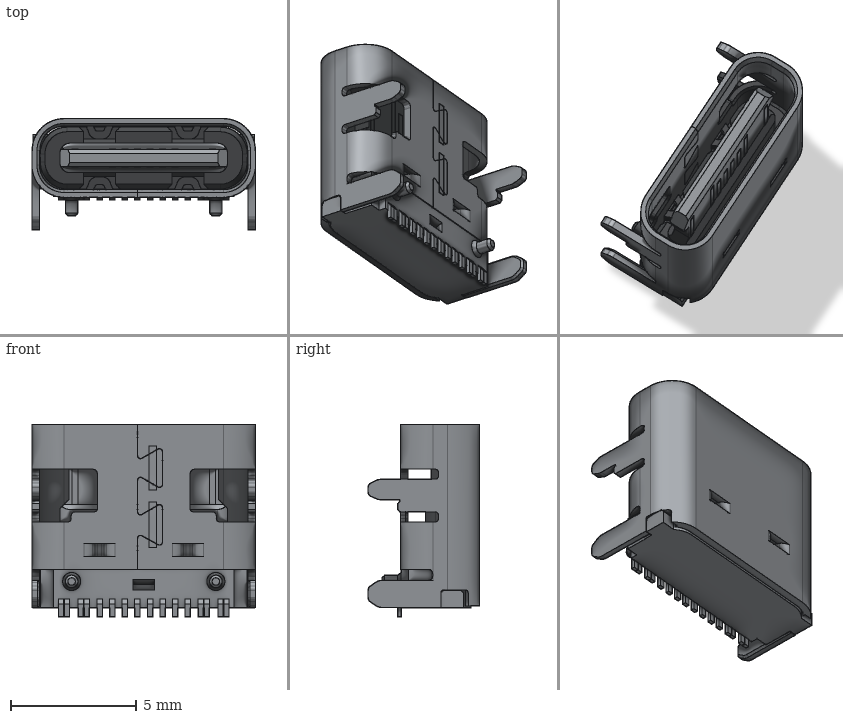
import cadquery as cq


SHELL_WIDTH = 8.94
SHELL_DEPTH = 3.16
SHELL_RADIUS = 1.29
SHEET = 0.31
SHELL_TOP = 7.34
SHELL_BOTTOM = 0.08
MOUTH_BEVEL_WIDTH = 0.11
MOUTH_BEVEL_HEIGHT = 0.3
HALF_WIDTH = SHELL_WIDTH / 2
HALF_DEPTH = SHELL_DEPTH / 2
FLAT_SIDE_END = HALF_DEPTH - SHELL_RADIUS
FRONT_SKIRT = 1.535
REACH = 1.0

WINDOW_INNER_X = 1.855
WINDOW_STEP_X = 2.9
WINDOW_TOP = 5.55
WINDOW_BOTTOM = 3.84
WINDOW_TOP_RADIUS = 0.19
WINDOW_RADIUS = 0.14
WINDOW_BEVEL = 0.1
RELIEF_WIDTH = 0.4
RELIEF_BOTTOM = WINDOW_BOTTOM - RELIEF_WIDTH
RELIEF_END_Y = -0.055
RELIEF_RADIUS = 0.14

LEG_TIP_Y = -2.88
LEG_TAPER_Y = -2.46
LEG_TAPER_RADIUS = 0.45
UPPER_LEG_TOP = WINDOW_TOP - RELIEF_WIDTH
UPPER_LEG_BOTTOM = 4.326
UPPER_TIP_TOP = 4.94
UPPER_TIP_BOTTOM = 4.51
LEG_TIP_RADIUS = 0.2
NUB_Y = -1.69
NUB_NECK_Y = -1.61
NUB_TOP = 4.17
NUB_BEVEL = 0.1
LOWER_LEG_TOP = 1.107
LOWER_LEG_BOTTOM = 0.015
LOWER_TIP_TOP = 0.81
LOWER_TIP_BOTTOM = 0.31
LOWER_LEG_BEVEL = 0.09
SKIRT_RADIUS = 0.17

SPRING_X = 1.765
SPRING_BOTTOM = 2.06
SPRING_TOP = 2.57
SPRING_REACH_Y = 0.76
SPRING_CREST = 0.14
SPRING_FLANK = 0.45
SPRING_ROOT = 0.55
SPRING_MOUTH = 0.617
HOLLOW_CREST = 0.085
HOLLOW_TOE = 0.18
HOLLOW_LIP = 0.28
HOLLOW_TOE_RISE = 0.055
HOLLOW_LIP_RISE = 0.275

SEAM_X = -0.25
SEAM_GAP = 0.01
SEAM_TIP_X = 0.745
SEAM_RADIUS = 0.12
DOVETAILS = [
    (6.45, 5.88, 5.32, 4.74),
    (4.21, 3.63, 2.99, 2.44),
]
STAKE_LEFT = 0.21
STAKE_RIGHT = 0.51
STAKE_DEPTH = 0.02
STAKE_MARGIN = 0.02

TAB_LOW_Y = 0.03
TAB_HIGH_Y = 0.94
TAB_TOP = 0.7
SLOT_HIGH_Y = 1.13
SLOT_TOP = 0.72
SLOT_RADIUS = 0.12

CORE_WIDTH = 8.28
CORE_DEPTH = 2.48
CORE_RADIUS = 1.08
CORE_TOP = 2.48
CORE_BEVEL = 0.19
BASE_WIDTH = 8.25
BASE_SIDE_Y = -1.25
BASE_FRONT_WIDTH = 7.2
BASE_FRONT_Y = -1.55
TAB_X = 4.43
TAB_BEVEL = 0.1

POCKET_WIDTH = 1.275
POCKET_FLOOR = 2.0
POCKET_WALL_Y = 0.75

TONGUE_HALF_WIDTH = 3.35
TONGUE_HALF_THICK = 0.34
TONGUE_TOP = 6.95
TIP_HALF_THICK = 0.18
TIP_HALF_WIDTH = 2.96
TIP_BEVEL_HEIGHT = 0.14
TIP_SLANT_HEIGHT = 0.68
ROOT_HALF_THICK = 0.59
ROOT_RADIUS = 0.4
ROOT_TOP = 3.94
ROOT_SLOPE_HEIGHT = 0.2
NOTCH_X = 2.98
NOTCH_BOTTOM = 4.35
NOTCH_TOP = 5.75

CONTACT_WIDTH = 0.25
CONTACT_PROUD = 0.02
CONTACT_BOTTOM = ROOT_TOP + ROOT_SLOPE_HEIGHT
LONG_CONTACT_TOP = 6.4
SHORT_CONTACT_TOP = 5.9
LONG_CONTACT_XS = [1.25, 2.75]
SHORT_CONTACT_XS = [0.25, 0.75]

PIN_PITCH = 0.5
PIN_COUNT = 8
PIN_WIDTH = 0.22
PIN_FRONT_Y = -1.69
PIN_BACK_Y = -1.54
PIN_BOTTOM = -0.36
PIN_BEND_BOTTOM = 0.16
PIN_BEND_TOP = 0.36
PAIR_XS = [2.4, 3.19]
PAIR_PITCH = 0.24
PAIR_PIN_WIDTH = 0.21

PEG_X = 2.885
PEG_Z = 1.06
PEG_DIAMETER = 0.5
PEG_FLARE_DIAMETER = 0.72
PEG_FLARE_Y = -1.7
PEG_TIP_Y = -2.32
PEG_TIP_DIAMETER = 0.3
PEG_TIP_LENGTH = 0.11

RECESS_WIDTH = 0.85
RECESS_BOTTOM = 0.71
RECESS_TOP = 1.145
RECESS_BACK_TOP = 0.93
RECESS_DEPTH = 0.5


def block(x0, x1, y0, y1, z0, z1):
    return cq.Workplane("XY").box(x1 - x0, y1 - y0, z1 - z0, centered=False).translate((x0, y0, z0))


def rounded_prism(width, depth, radius, z0, z1):
    prism = cq.Workplane("XY").workplane(offset=z0).rect(width, depth).extrude(z1 - z0)
    return prism.edges("|Z").fillet(radius)


def prism_along_y(points_xz, y0, y1):
    return cq.Workplane("XZ").workplane(offset=-y1).polyline(points_xz).close().extrude(y1 - y0)


def prism_along_x(points_yz, x0, x1):
    return cq.Workplane("YZ").workplane(offset=x0).polyline(points_yz).close().extrude(x1 - x0)


def both_sides(solid):
    return solid.union(solid.mirror("YZ"))


def shell_tube():
    inner_width = SHELL_WIDTH - 2 * SHEET
    inner_depth = SHELL_DEPTH - 2 * SHEET
    inner_radius = SHELL_RADIUS - SHEET
    tube = rounded_prism(SHELL_WIDTH, SHELL_DEPTH, SHELL_RADIUS, SHELL_BOTTOM, SHELL_TOP)
    bore = rounded_prism(inner_width, inner_depth, inner_radius, SHELL_BOTTOM, SHELL_TOP)
    tube = tube.cut(bore)
    rim = tube.faces(">Z").wires().vals()
    inner_rim = min(rim, key=lambda wire: wire.Length())
    return tube.newObject(inner_rim.Edges()).chamfer(MOUTH_BEVEL_WIDTH, MOUTH_BEVEL_HEIGHT)


def skirt_cut():
    """Space below the front wall; a slot with rounded ends parts the skirt from each lower leg."""
    left = -HALF_WIDTH - REACH
    right = HALF_WIDTH + REACH
    front = -HALF_DEPTH - REACH
    low = SHELL_BOTTOM - REACH
    slot = block(left, right, front, -FLAT_SIDE_END, LOWER_LEG_TOP, FRONT_SKIRT)
    slot = slot.edges("|X and >Y").fillet(SKIRT_RADIUS)
    below = block(left, right, front, -FLAT_SIDE_END - SKIRT_RADIUS, low, FRONT_SKIRT - SKIRT_RADIUS)
    behind = block(left, right, front, -FLAT_SIDE_END, low, LOWER_LEG_TOP - SKIRT_RADIUS)
    return slot.union(below).union(behind)


def window_opening(top):
    """Stepped opening in the front wall at +X, up to a given height."""
    outer_x = HALF_WIDTH + REACH
    outline = [
        (outer_x, top),
        (WINDOW_INNER_X, top),
        (WINDOW_INNER_X, WINDOW_BOTTOM),
        (WINDOW_STEP_X, WINDOW_BOTTOM),
        (WINDOW_STEP_X, RELIEF_BOTTOM),
        (outer_x, RELIEF_BOTTOM),
    ]
    opening = prism_along_y(outline, -HALF_DEPTH - REACH, -FLAT_SIDE_END)
    return opening.edges("|Y").edges("not >X").edges("not >Z").fillet(WINDOW_RADIUS)


def corner_window():
    """Window of the +X front corner with the two relief slots of the upper leg."""
    window = window_opening(WINDOW_TOP)
    window = window.edges("|Y").edges("<X").edges(">Z").fillet(WINDOW_TOP_RADIUS)
    for slot_bottom in (RELIEF_BOTTOM, UPPER_LEG_TOP):
        slot = block(HALF_WIDTH - 2 * SHEET, HALF_WIDTH + REACH, -HALF_DEPTH, RELIEF_END_Y,
                     slot_bottom, slot_bottom + RELIEF_WIDTH)
        window = window.union(slot.edges("|X and >Y").fillet(RELIEF_RADIUS))
    return window


def cut_windows(shell):
    """Opens the sills first, bevels their inner edges, then opens the full windows."""
    shell = shell.cut(both_sides(window_opening(WINDOW_BOTTOM + WINDOW_RADIUS + WINDOW_BEVEL)))
    near = (WINDOW_INNER_X + WINDOW_RADIUS, SHEET - HALF_DEPTH - WINDOW_BEVEL, RELIEF_BOTTOM - WINDOW_BEVEL)
    far = (HALF_WIDTH - 2 * SHEET, -FLAT_SIDE_END, WINDOW_BOTTOM + WINDOW_BEVEL)
    right_sill = cq.selectors.BoxSelector(near, far)
    left_sill = cq.selectors.BoxSelector((-near[0], *near[1:]), (-far[0], *far[1:]))
    shell = shell.edges(right_sill + left_sill).chamfer(WINDOW_BEVEL)
    return shell.cut(both_sides(corner_window()))


def round_leg_end(leg):
    near = (0, LEG_TAPER_Y - SHEET / 2, LOWER_LEG_BOTTOM - REACH)
    far = (HALF_WIDTH + REACH, LEG_TAPER_Y + SHEET / 2, UPPER_LEG_TOP + REACH)
    leg = leg.edges("|X").edges(cq.selectors.BoxSelector(near, far)).fillet(LEG_TAPER_RADIUS)
    return leg.edges("|X and <Y").fillet(LEG_TIP_RADIUS)


def upper_leg():
    outline = [
        (RELIEF_END_Y, UPPER_LEG_TOP),
        (LEG_TAPER_Y, UPPER_LEG_TOP),
        (LEG_TIP_Y, UPPER_TIP_TOP),
        (LEG_TIP_Y, UPPER_TIP_BOTTOM),
        (LEG_TAPER_Y, UPPER_LEG_BOTTOM),
        (NUB_NECK_Y, UPPER_LEG_BOTTOM),
        (NUB_NECK_Y, NUB_TOP + NUB_BEVEL),
        (NUB_Y, NUB_TOP),
        (NUB_Y, WINDOW_BOTTOM + NUB_BEVEL),
        (NUB_NECK_Y, WINDOW_BOTTOM),
        (RELIEF_END_Y, WINDOW_BOTTOM),
    ]
    leg = prism_along_x(outline, HALF_WIDTH - SHEET, HALF_WIDTH)
    return round_leg_end(leg)


def lower_leg():
    outline = [
        (TAB_LOW_Y, LOWER_LEG_TOP),
        (LEG_TAPER_Y, LOWER_LEG_TOP),
        (LEG_TIP_Y, LOWER_TIP_TOP),
        (LEG_TIP_Y, LOWER_TIP_BOTTOM),
        (LEG_TAPER_Y, LOWER_LEG_BOTTOM),
        (TAB_LOW_Y, LOWER_LEG_BOTTOM),
    ]
    leg = prism_along_x(outline, HALF_WIDTH - SHEET, HALF_WIDTH)
    leg = round_leg_end(leg)
    return leg.faces("<X").edges("not >Y").chamfer(LOWER_LEG_BEVEL)


def tab_slot():
    slot = block(HALF_WIDTH - SHELL_RADIUS / 2, HALF_WIDTH + REACH, TAB_LOW_Y, SLOT_HIGH_Y,
                 SHELL_BOTTOM - REACH, SLOT_TOP)
    return slot.edges("|X and >Z").fillet(SLOT_RADIUS)


def spring_strip():
    """Strip of the back wall pushed inward at +X."""
    inner_wall = HALF_DEPTH - SHEET
    flank_y = SPRING_REACH_Y + SHEET
    shoulder = (SPRING_CREST + 2 * SPRING_FLANK) / 3
    shoulder_y = SPRING_REACH_Y + SHEET / 3
    strip = (
        cq.Workplane("XY").workplane(offset=SPRING_BOTTOM)
        .moveTo(-SPRING_ROOT, HALF_DEPTH - SHEET / 2)
        .lineTo(-SPRING_ROOT, inner_wall)
        .lineTo(-SPRING_FLANK, flank_y)
        .threePointArc((-shoulder, shoulder_y), (-SPRING_CREST, SPRING_REACH_Y))
        .lineTo(SPRING_CREST, SPRING_REACH_Y)
        .threePointArc((shoulder, shoulder_y), (SPRING_FLANK, flank_y))
        .lineTo(SPRING_ROOT, inner_wall)
        .lineTo(SPRING_ROOT, HALF_DEPTH - SHEET / 2)
        .close()
        .extrude(SPRING_TOP - SPRING_BOTTOM)
    )
    return strip.translate((SPRING_X, 0, 0))


def spring_hollow():
    """Space left outside the pushed-in strip at +X of the back wall."""
    floor_y = SPRING_REACH_Y + SHEET
    toe_y = floor_y + HOLLOW_TOE_RISE
    toe_middle = ((HOLLOW_CREST + 2 * HOLLOW_TOE) / 3, floor_y + HOLLOW_TOE_RISE / 3)
    lip_y = floor_y + HOLLOW_LIP_RISE
    lip_middle = ((3 * HOLLOW_LIP + 2 * SPRING_MOUTH) / 5, (2 * lip_y + 3 * HALF_DEPTH) / 5)
    hollow = (
        cq.Workplane("XY").workplane(offset=SPRING_BOTTOM)
        .moveTo(-SPRING_MOUTH, HALF_DEPTH)
        .threePointArc((-lip_middle[0], lip_middle[1]), (-HOLLOW_LIP, lip_y))
        .lineTo(-HOLLOW_TOE, toe_y)
        .threePointArc((-toe_middle[0], toe_middle[1]), (-HOLLOW_CREST, floor_y))
        .lineTo(HOLLOW_CREST, floor_y)
        .threePointArc(toe_middle, (HOLLOW_TOE, toe_y))
        .lineTo(HOLLOW_LIP, lip_y)
        .threePointArc(lip_middle, (SPRING_MOUTH, HALF_DEPTH))
        .close()
        .extrude(SPRING_TOP - SPRING_BOTTOM)
    )
    return hollow.translate((SPRING_X, 0, 0))


def seam_cut():
    """Hairline gap that follows the dovetailed joint of the rolled sheet."""
    left_x = SEAM_X - REACH
    outline = [(left_x, SHELL_TOP + REACH), (SEAM_X, SHELL_TOP + REACH)]
    for tip_top, root_top, root_bottom, tip_bottom in DOVETAILS:
        outline += [(SEAM_X, root_top), (SEAM_TIP_X, tip_top)]
        outline += [(SEAM_TIP_X, tip_bottom), (SEAM_X, root_bottom)]
    outline += [(SEAM_X, SHELL_BOTTOM), (left_x, SHELL_BOTTOM)]
    y0 = -HALF_DEPTH - SHEET
    y1 = -HALF_DEPTH + 1.5 * SHEET
    left_half = prism_along_y(outline, y0, y1)
    left_half = left_half.edges("|Y and (not <X)").edges("(not >Z) and (not <Z)").fillet(SEAM_RADIUS)
    grown_wire = left_half.faces("<Y").wires().val().offset2D(SEAM_GAP)[0]
    grown = cq.Workplane(cq.Solid.extrudeLinear(grown_wire, [], cq.Vector(0, y1 - y0, 0)))
    strip = block(SEAM_X - SHEET, SEAM_TIP_X + REACH, y0, y1, SHELL_BOTTOM, SHELL_TOP)
    return grown.cut(left_half).intersect(strip)


def make_shell():
    shell = shell_tube().cut(skirt_cut())
    shell = cut_windows(shell)
    shell = shell.union(both_sides(upper_leg())).union(both_sides(lower_leg()))
    shell = shell.cut(both_sides(tab_slot()))
    back_strips = both_sides(spring_strip())
    back_hollows = both_sides(spring_hollow())
    shell = shell.union(back_strips).union(back_strips.mirror("XZ"))
    shell = shell.cut(back_hollows).cut(back_hollows.mirror("XZ"))
    shell = shell.cut(seam_cut())
    for tip_top, _, _, tip_bottom in DOVETAILS:
        shell = shell.cut(block(STAKE_LEFT, STAKE_RIGHT, -HALF_DEPTH, -HALF_DEPTH + STAKE_DEPTH,
                                tip_bottom - STAKE_MARGIN, tip_top + STAKE_MARGIN))
    return shell


def core_body():
    body = rounded_prism(CORE_WIDTH, CORE_DEPTH, CORE_RADIUS, 0, CORE_TOP)
    body = body.faces(">Z").edges().chamfer(CORE_BEVEL)
    body = body.union(block(-BASE_WIDTH / 2, BASE_WIDTH / 2, BASE_SIDE_Y, 0, 0, FRONT_SKIRT))
    return body.union(block(-BASE_FRONT_WIDTH / 2, BASE_FRONT_WIDTH / 2, BASE_FRONT_Y, 0, 0, FRONT_SKIRT))


def side_tab():
    tab = block(BASE_WIDTH / 2 - SHEET, TAB_X, TAB_LOW_Y, TAB_HIGH_Y, 0, TAB_TOP)
    return tab.edges("|X and >Z").chamfer(TAB_BEVEL)


def spring_pocket():
    """Pocket behind a spring of the back wall at +X."""
    slope = POCKET_WALL_Y - ROOT_HALF_THICK
    half = POCKET_WIDTH / 2
    profile = [
        (POCKET_WALL_Y, POCKET_FLOOR),
        (POCKET_WALL_Y, CORE_TOP - slope),
        (ROOT_HALF_THICK, CORE_TOP),
        (HALF_DEPTH, CORE_TOP),
        (HALF_DEPTH, POCKET_FLOOR),
    ]
    pocket = prism_along_x(profile, SPRING_X - half, SPRING_X + half)
    edge_y = CORE_DEPTH / 2
    flare = [
        (SPRING_X - half, edge_y - CORE_BEVEL),
        (SPRING_X + half, edge_y - CORE_BEVEL),
        (SPRING_X + half + CORE_BEVEL, edge_y),
        (SPRING_X - half - CORE_BEVEL, edge_y),
    ]
    mouth = cq.Workplane("XY").workplane(offset=POCKET_FLOOR).polyline(flare).close()
    return pocket.union(mouth.extrude(CORE_TOP - POCKET_FLOOR))


def tongue():
    slope_top = ROOT_TOP + ROOT_SLOPE_HEIGHT
    half_profile = [
        (ROOT_HALF_THICK, FRONT_SKIRT),
        (ROOT_HALF_THICK, ROOT_TOP),
        (TONGUE_HALF_THICK, slope_top),
        (TONGUE_HALF_THICK, TONGUE_TOP - TIP_BEVEL_HEIGHT),
        (TIP_HALF_THICK, TONGUE_TOP),
    ]
    profile = half_profile + [(-y, z) for y, z in reversed(half_profile)]
    body = prism_along_x(profile, -TONGUE_HALF_WIDTH, TONGUE_HALF_WIDTH)
    plan = rounded_prism(2 * TONGUE_HALF_WIDTH, 2 * ROOT_HALF_THICK, ROOT_RADIUS, FRONT_SKIRT, TONGUE_TOP)
    shoulder_z = TONGUE_TOP - TIP_SLANT_HEIGHT
    face_outline = [
        (-TONGUE_HALF_WIDTH, FRONT_SKIRT),
        (-TONGUE_HALF_WIDTH, shoulder_z),
        (-TIP_HALF_WIDTH, TONGUE_TOP),
        (TIP_HALF_WIDTH, TONGUE_TOP),
        (TONGUE_HALF_WIDTH, shoulder_z),
        (TONGUE_HALF_WIDTH, FRONT_SKIRT),
    ]
    face = prism_along_y(face_outline, -ROOT_HALF_THICK, ROOT_HALF_THICK)
    return body.intersect(plan).intersect(face).cut(both_sides(latch_notch()))


def latch_notch():
    """Notch in the +X edge of the tongue, with ends at 45 degrees."""
    depth = TONGUE_HALF_WIDTH - NOTCH_X
    outline = [
        (NOTCH_X, NOTCH_BOTTOM),
        (NOTCH_X, NOTCH_TOP),
        (TONGUE_HALF_WIDTH, NOTCH_TOP + depth),
        (TONGUE_HALF_WIDTH, NOTCH_BOTTOM - depth),
    ]
    return prism_along_y(outline, -ROOT_HALF_THICK, ROOT_HALF_THICK)


def contact(x, top):
    """Matching contact bars on the two faces of the tongue."""
    half_thick = TONGUE_HALF_THICK + CONTACT_PROUD
    return block(x - CONTACT_WIDTH / 2, x + CONTACT_WIDTH / 2, -half_thick, half_thick, CONTACT_BOTTOM, top)


def pin(x, width):
    profile = [
        (PIN_BACK_Y, PIN_BOTTOM),
        (PIN_FRONT_Y, PIN_BOTTOM),
        (PIN_FRONT_Y, PIN_BEND_BOTTOM),
        (BASE_FRONT_Y, PIN_BEND_TOP),
        (PIN_BACK_Y, PIN_BEND_TOP),
    ]
    return prism_along_x(profile, x - width / 2, x + width / 2)


def peg():
    profile = [
        (0, BASE_FRONT_Y),
        (PEG_FLARE_DIAMETER / 2, BASE_FRONT_Y),
        (PEG_DIAMETER / 2, PEG_FLARE_Y),
        (PEG_DIAMETER / 2, PEG_TIP_Y + PEG_TIP_LENGTH),
        (PEG_TIP_DIAMETER / 2, PEG_TIP_Y),
        (0, PEG_TIP_Y),
    ]
    turned = cq.Workplane("XY").polyline(profile).close().revolve(360, (0, 0, 0), (0, 1, 0))
    return turned.translate((PEG_X, 0, PEG_Z))


def front_recess():
    back_y = BASE_FRONT_Y + RECESS_DEPTH
    profile = [
        (BASE_FRONT_Y, RECESS_BOTTOM),
        (back_y, RECESS_BOTTOM),
        (back_y, RECESS_BACK_TOP),
        (BASE_FRONT_Y, RECESS_TOP),
    ]
    return prism_along_x(profile, -RECESS_WIDTH / 2, RECESS_WIDTH / 2)


def make_core():
    core = core_body().union(both_sides(side_tab()))
    back_pockets = both_sides(spring_pocket())
    core = core.cut(back_pockets).cut(back_pockets.mirror("XZ"))
    core = core.cut(front_recess()).union(tongue()).union(both_sides(peg()))
    for xs, top in ((LONG_CONTACT_XS, LONG_CONTACT_TOP), (SHORT_CONTACT_XS, SHORT_CONTACT_TOP)):
        for x in xs:
            core = core.union(both_sides(contact(x, top)))
    for index in range(PIN_COUNT):
        x = (index - (PIN_COUNT - 1) / 2) * PIN_PITCH
        core = core.union(pin(x, PIN_WIDTH))
    for pair_x in PAIR_XS:
        for side in (-1, 1):
            core = core.union(both_sides(pin(pair_x + side * PAIR_PITCH / 2, PAIR_PIN_WIDTH)))
    return core


shell = make_shell()
core = make_core()
result = cq.Compound.makeCompound([*shell.solids().vals(), *core.solids().vals()])